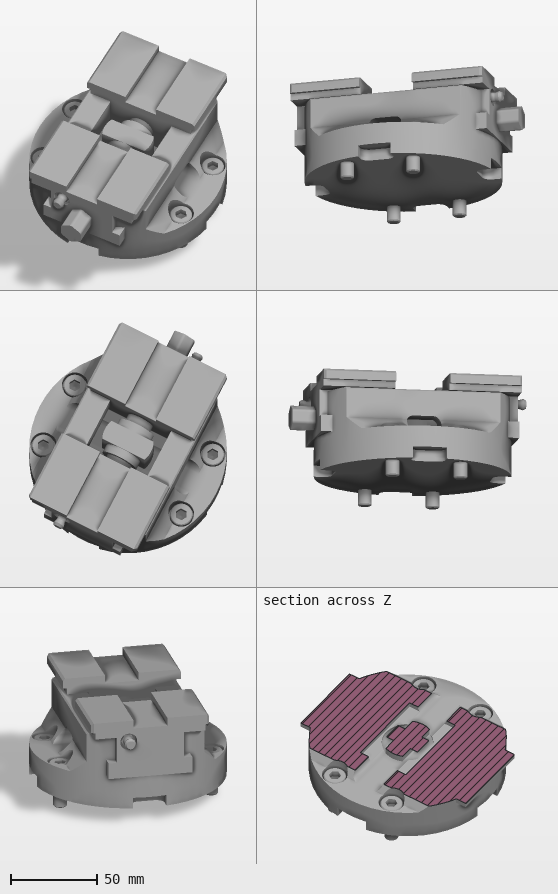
import cadquery as cq
import math


base_diameter = 114.8
flange_height = 19.0
body_width = 70.2
body_top = 44.7
flare = 8.0
body_edge_chamfer = 0.8

notch_width = 20.0
notch_height = 6.5
notch_corner_radius = 5.0
notch_depth = 10.9

window_width = 20.0
window_height = 10.2
window_corner_radius = 4.1

slot_floor = 20.2
slot_neck_width = 39.8
slot_foot_width = 49.7
slot_foot_top = 29.8

jaw_inner_y = 16.0
jaw_outer_y = 58.5
jaw_top = 55.3
jaw_width = body_width
jaw_lip_bottom = 49.3
jaw_step_width = 65.3
jaw_underside = 45.5
jaw_groove_width = 20.0
jaw_groove_floor = 50.4
jaw_chamfer = 1.4

spindle_axis_z = 32.3
spindle_diameter = 16.0
collar_diameter = 22.0
collar_outer_y = 11.0
hex_across_flats = 13.0
hex_corner_radius = 1.9
hex_end_y = 72.0

post_diameter = 30.0
post_thickness = 12.0
post_top = 43.3

screw_x = 45.0
screw_y = 20.0
counterbore_diameter = 15.0
head_diameter = 13.0
head_top = 18.3
head_edge_chamfer = 0.5
head_height = 8.0
socket_across_flats = 6.1
socket_depth = 4.0
socket_cone_depth = 1.8
shank_diameter = 8.0
shank_end_z = -9.1
shank_chamfer = 0.7

nipple_x = 13.0
nipple_z = 42.4
nipple_end_y = 64.3
nipple_recess_diameter = 10.1
nipple_recess_depth = 4.1
nipple_hex_across_flats = 7.1
nipple_hex_height = 2.7
nipple_tip_diameter = 4.9
nipple_ridge_diameter = 6.7
nipple_neck_diameter = 5.0
nipple_root_diameter = 6.0
nipple_tip_length = 1.6
nipple_taper_length = 2.6

base_radius = base_diameter / 2
cut_clearance = 1.4


def box(x_size, y_min, y_max, z_min, z_max):
    """Block centred on X between the given Y and Z limits."""
    return (
        cq.Workplane("XY", origin=(0, y_min, z_min))
        .box(x_size, y_max - y_min, z_max - z_min, centered=(True, False, False))
    )


def y_cylinder(diameter, y_min, y_max):
    """Cylinder on the spindle axis between two Y positions."""
    return (
        cq.Workplane("XZ", origin=(0, y_min, spindle_axis_z))
        .circle(diameter / 2)
        .extrude(y_min - y_max)
    )


def hexagon(workplane, across_flats):
    """Hexagon with two corners on the workplane's local X axis."""
    return workplane.polygon(6, across_flats / math.cos(math.pi / 6))


def make_body():
    """Round flange with the raised body, its edges following the flange circle."""
    half_body = body_width / 2
    half_foot = half_body + flare
    profile = [
        (-base_radius, 0),
        (base_radius, 0),
        (base_radius, flange_height),
        (half_foot, flange_height),
        (half_body, flange_height + flare),
        (half_body, body_top - body_edge_chamfer),
        (half_body - body_edge_chamfer, body_top),
        (-half_body + body_edge_chamfer, body_top),
        (-half_body, body_top - body_edge_chamfer),
        (-half_body, flange_height + flare),
        (-half_foot, flange_height),
        (-base_radius, flange_height),
    ]
    prism = cq.Workplane("XZ").polyline(profile).close().extrude(base_radius, both=True)
    return prism.intersect(cq.Workplane("XY").circle(base_radius).extrude(body_top))


def make_notch():
    """Notch cutter on the -Y rim, rounded at its inner corners."""
    inner_y = notch_depth - base_radius
    cutter = box(notch_width, -base_radius - cut_clearance, inner_y, -cut_clearance, notch_height)
    return cutter.edges("|Z and >Y").fillet(notch_corner_radius)


def make_t_slot():
    """T-slot cutter running the full length of the body."""
    foot = box(slot_foot_width, -base_radius, base_radius, slot_floor, slot_foot_top)
    neck = box(slot_neck_width, -base_radius, base_radius, slot_floor, body_top + cut_clearance)
    return foot.union(neck)


def make_window():
    """Rounded cross window cutter, its floor level with the top of the flange."""
    cutter = box(
        base_diameter, -window_width / 2, window_width / 2, flange_height, flange_height + window_height
    )
    return cutter.edges("|X").fillet(window_corner_radius)


def make_jaw():
    """Jaw at the -Y end with its grease nipple recess."""
    lip = box(jaw_width, -jaw_outer_y, -jaw_inner_y, jaw_lip_bottom, jaw_top)
    lip = lip.edges("|Z and <Y").chamfer(jaw_chamfer)
    lip = lip.edges("|Y and >Z").chamfer(jaw_chamfer)
    step = box(jaw_step_width, -jaw_outer_y, -jaw_inner_y, jaw_underside, jaw_lip_bottom)
    neck = box(slot_neck_width, -jaw_outer_y, -jaw_inner_y, slot_floor, jaw_underside)
    foot = box(slot_foot_width, -jaw_outer_y, -jaw_inner_y, slot_floor, slot_foot_top)
    groove = box(jaw_groove_width, -jaw_outer_y, -jaw_inner_y, jaw_groove_floor, jaw_top)
    recess = (
        cq.Workplane("XZ", origin=(-nipple_x, -jaw_outer_y, nipple_z))
        .circle(nipple_recess_diameter / 2)
        .extrude(-nipple_recess_depth)
    )
    return lip.union(step).union(neck).union(foot).cut(groove).cut(recess)


def make_nipple():
    """Grease nipple of the -Y jaw: hexagon seated in the recess and a turned head."""
    seat_y = -jaw_outer_y + nipple_recess_depth
    hex_base = hexagon(
        cq.Workplane("XZ", origin=(-nipple_x, seat_y, nipple_z)), nipple_hex_across_flats
    ).extrude(nipple_hex_height)
    ridge_y = nipple_end_y - nipple_tip_length
    neck_y = ridge_y - nipple_taper_length
    root_y = -seat_y + nipple_hex_height
    head = (
        cq.Workplane("XY")
        .moveTo(0, -seat_y)
        .lineTo(nipple_root_diameter / 2, -seat_y)
        .lineTo(nipple_root_diameter / 2, root_y)
        .lineTo(nipple_neck_diameter / 2, neck_y)
        .lineTo(nipple_ridge_diameter / 2, ridge_y)
        .lineTo(nipple_tip_diameter / 2, nipple_end_y)
        .lineTo(0, nipple_end_y)
        .close()
        .revolve(360, (0, 0, 0), (0, 1, 0))
        .rotate((0, 0, 0), (0, 0, 1), 180)
        .translate((-nipple_x, 0, nipple_z))
    )
    return hex_base.union(head)


def make_spindle():
    """Spindle with collars either side of the post and a hexagon drive at -Y."""
    shaft = y_cylinder(spindle_diameter, -jaw_inner_y, jaw_inner_y)
    collars = y_cylinder(collar_diameter, -collar_outer_y, collar_outer_y)
    drive = (
        hexagon(cq.Workplane("XZ", origin=(0, -jaw_outer_y, spindle_axis_z)), hex_across_flats)
        .extrude(hex_end_y - jaw_outer_y)
        .edges("|Y")
        .fillet(hex_corner_radius)
        .rotate((0, 0, spindle_axis_z), (0, 1, spindle_axis_z), 90)
    )
    return shaft.union(collars).union(drive)


def make_post():
    """Bearing post: a round column flattened to fit between the collars."""
    column = (
        cq.Workplane("XY", origin=(0, 0, flange_height))
        .circle(post_diameter / 2)
        .extrude(post_top - flange_height)
    )
    slab = box(post_diameter, -post_thickness / 2, post_thickness / 2, flange_height, post_top)
    return column.intersect(slab)


def make_screw():
    """Socket head screw on the Z axis."""
    head_seat = head_top - head_height
    head = (
        cq.Workplane("XY", origin=(0, 0, head_seat))
        .circle(head_diameter / 2)
        .extrude(head_height)
        .faces(">Z")
        .chamfer(head_edge_chamfer)
    )
    shank = (
        cq.Workplane("XY", origin=(0, 0, shank_end_z))
        .circle(shank_diameter / 2)
        .extrude(head_seat - shank_end_z)
        .faces("<Z")
        .chamfer(shank_chamfer)
    )
    socket = hexagon(
        cq.Workplane("XY", origin=(0, 0, head_top)), socket_across_flats
    ).extrude(-socket_depth)
    drill_point = cq.Solid.makeCone(
        socket_across_flats / 2,
        0,
        socket_cone_depth,
        cq.Vector(0, 0, head_top - socket_depth),
        cq.Vector(0, 0, -1),
    )
    return head.union(shank).cut(socket).cut(drill_point)


result = make_body().cut(make_t_slot()).cut(make_window())

notch = make_notch()
for quarter in range(4):
    result = result.cut(notch.rotate((0, 0, 0), (0, 0, 1), 90 * quarter))

post_seat = cq.Workplane("XY", origin=(0, 0, flange_height)).circle(post_diameter / 2)
result = result.cut(post_seat.extrude(slot_foot_top - flange_height))

screw = make_screw()
counterbore = (
    cq.Workplane("XY", origin=(0, 0, head_top - head_height))
    .circle(counterbore_diameter / 2)
    .extrude(body_top)
)
for x in (-screw_x, screw_x):
    for y in (-screw_y, screw_y):
        result = result.cut(counterbore.translate((x, y, 0)))
        result = result.union(screw.translate((x, y, 0)))

result = result.union(make_post()).union(make_spindle())
jaw = make_jaw().union(make_nipple())
for turn in (0, 180):
    result = result.union(jaw.rotate((0, 0, 0), (0, 0, 1), turn))